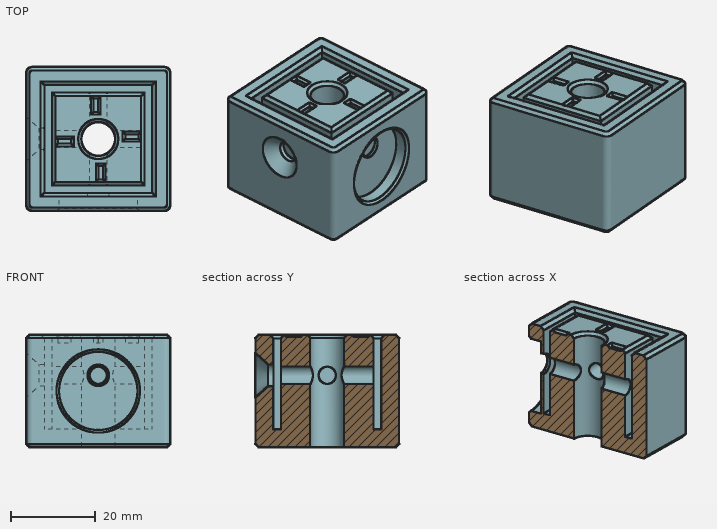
import cadquery as cq

SIDE = 34.15
HEIGHT = 26.68
CORNER_RADIUS = 1.57
EDGE_CHAMFER = 0.85

MOAT_SIDE = 25.5
MOAT_CHAMFER = 0.9
WALL_THICKNESS = (SIDE - MOAT_SIDE) / 2
FLOOR_THICKNESS = WALL_THICKNESS

POST_SIDE = 21.93
POST_CHAMFER = 0.82
POST_TOP_SIDE = POST_SIDE - 2 * POST_CHAMFER

BORE_DIAMETER = 7.93
BORE_CHAMFER = 0.8

SLOT_COUNT = 4
SLOT_MOUTH_LENGTH = 4.37
SLOT_MOUTH_WIDTH = 2.3
SLOT_CHAMFER = 0.6
SLOT_DEPTH = 2.05
SLOT_SIDE_OFFSET = 0.58

POCKET_DIAMETER = 18.5
POCKET_CHAMFER = 0.6
POCKET_DEPTH = 3.5

SCREW_Z = 17.05
SCREW_HOLE_DIAMETER = 4.05
ACCESS_DIAMETER = 5.1
FUNNEL_DIAMETER = 10.6
FUNNEL_DEPTH = 3.07

ALONG_X = cq.Vector(1, 0, 0)
ALONG_Y = cq.Vector(0, 1, 0)
DOWN = cq.Vector(0, 0, -1)


def upright_prism(length, width, bottom_z, top_z):
    return (
        cq.Workplane("XY", origin=(0, 0, bottom_z))
        .rect(length, width)
        .extrude(top_z - bottom_z)
    )


def chamfered_mouth(length, width, chamfer, top_z):
    """Rectangular funnel that opens from length x width by the chamfer on every side."""
    return (
        cq.Workplane("XY", origin=(0, 0, top_z - chamfer))
        .rect(length, width)
        .workplane(offset=chamfer)
        .rect(length + 2 * chamfer, width + 2 * chamfer)
        .loft(ruled=True)
    )


def cylinder(diameter, length, start, direction):
    return cq.Workplane(obj=cq.Solid.makeCylinder(diameter / 2, length, start, direction))


def cone(start_diameter, end_diameter, length, start, direction):
    return cq.Workplane(
        obj=cq.Solid.makeCone(start_diameter / 2, end_diameter / 2, length, start, direction)
    )


def make_block():
    block = upright_prism(SIDE, SIDE, 0, HEIGHT)
    block = block.edges("|Z").fillet(CORNER_RADIUS)
    return block.faces("<Z or >Z").chamfer(EDGE_CHAMFER)


def make_moat():
    moat = upright_prism(MOAT_SIDE, MOAT_SIDE, FLOOR_THICKNESS, HEIGHT)
    return moat.union(chamfered_mouth(MOAT_SIDE, MOAT_SIDE, MOAT_CHAMFER, HEIGHT))


def make_post():
    post = upright_prism(POST_SIDE, POST_SIDE, FLOOR_THICKNESS, HEIGHT)
    return post.faces(">Z").chamfer(POST_CHAMFER)


def make_bore():
    top_centre = cq.Vector(0, 0, HEIGHT)
    mouth_diameter = BORE_DIAMETER + 2 * BORE_CHAMFER
    bore = cylinder(BORE_DIAMETER, HEIGHT, top_centre, DOWN)
    return bore.union(cone(mouth_diameter, BORE_DIAMETER, BORE_CHAMFER, top_centre, DOWN))


def make_slot():
    """Slot on the +X side, with its outer end at the edge of the post's flat top."""
    length = SLOT_MOUTH_LENGTH - 2 * SLOT_CHAMFER
    width = SLOT_MOUTH_WIDTH - 2 * SLOT_CHAMFER
    slot = upright_prism(length, width, HEIGHT - SLOT_DEPTH, HEIGHT)
    slot = slot.union(chamfered_mouth(length, width, SLOT_CHAMFER, HEIGHT))
    return slot.translate(((POST_TOP_SIDE - SLOT_MOUTH_LENGTH) / 2, SLOT_SIDE_OFFSET, 0))


def make_pocket():
    centre = cq.Vector(0, -SIDE / 2, HEIGHT / 2)
    mouth_diameter = POCKET_DIAMETER + 2 * POCKET_CHAMFER
    pocket = cylinder(POCKET_DIAMETER, POCKET_DEPTH, centre, ALONG_Y)
    return pocket.union(cone(mouth_diameter, POCKET_DIAMETER, POCKET_CHAMFER, centre, ALONG_Y))


def make_hole_line(direction):
    """Access hole through the outer wall, in line with a screw hole right across the post."""
    height = cq.Vector(0, 0, SCREW_Z)
    access = cylinder(ACCESS_DIAMETER, WALL_THICKNESS, height - direction * (SIDE / 2), direction)
    screw_hole = cylinder(
        SCREW_HOLE_DIAMETER, POST_SIDE, height - direction * (POST_SIDE / 2), direction
    )
    return access.union(screw_hole)


def make_funnel():
    centre = cq.Vector(-SIDE / 2, 0, SCREW_Z)
    return cone(FUNNEL_DIAMETER, ACCESS_DIAMETER, FUNNEL_DEPTH, centre, ALONG_X)


result = make_block().cut(make_moat().cut(make_post())).cut(make_bore())

for index in range(SLOT_COUNT):
    result = result.cut(make_slot().rotate((0, 0, 0), (0, 0, 1), index * 360 / SLOT_COUNT))

result = result.cut(make_pocket()).cut(make_funnel())

for axis in (ALONG_X, ALONG_Y):
    result = result.cut(make_hole_line(axis))